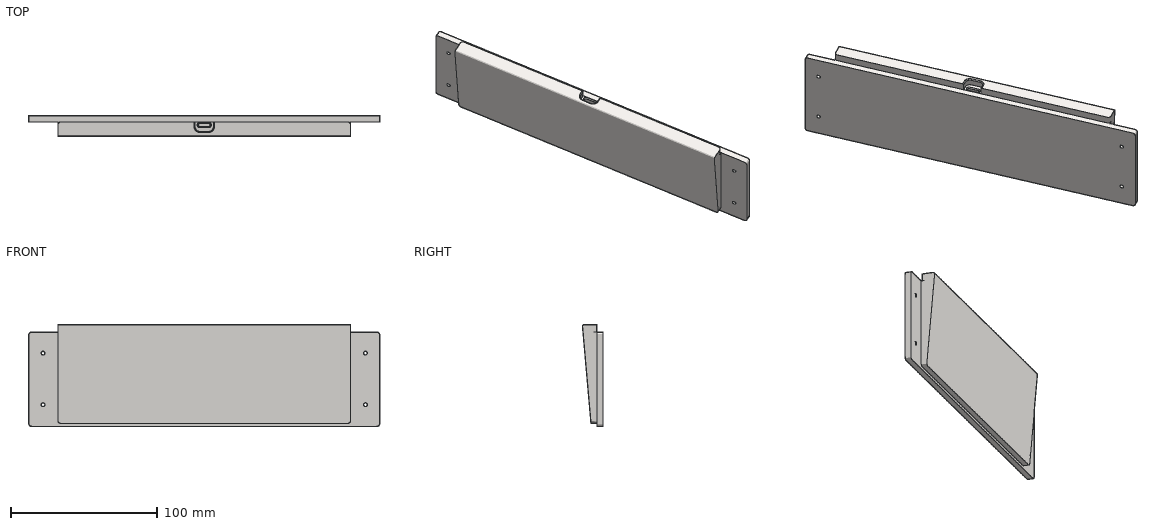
import cadquery as cq
import math

plate_length = 240.5
plate_height = 64.7
plate_thickness = 4.3
plate_corner_radius = 2.05

total_depth = 14.2
housing_length = 200.5
housing_bottom = 2.2
housing_top = 69.7
face_slope = 5.0
housing_corner_radius = 2.05
top_edge_radius = 1.2

hole_diameter = 2.5
hole_spacing_x = 220.7
hole_heights = (15.0, 50.3)

recess_width = 12.5
recess_depth_y = 6.5
recess_corner_radius = 3.4
recess_floor = 65.0
recess_chamfer = 0.7

socket_width = 8.2
socket_thickness = 2.2
socket_gap = 1.0
socket_chamfer = 0.7
socket_depth = 4.8

plate_front = -plate_thickness


def make_plate():
    plate = cq.Workplane("XY").box(
        plate_length, plate_thickness, plate_height, centered=(True, False, False)
    )
    plate = plate.translate((0, plate_front, 0))
    return plate.edges("|Y").fillet(plate_corner_radius)


def make_housing():
    slope = math.radians(face_slope)
    corner_y = -total_depth - top_edge_radius * (1 / math.cos(slope) + math.tan(slope) - 1)
    slope_run = (housing_top - housing_bottom) * math.tan(slope)
    profile = [
        (plate_front, housing_bottom),
        (plate_front, housing_top),
        (corner_y, housing_top),
        (corner_y + slope_run, housing_bottom),
    ]
    housing = (
        cq.Workplane("YZ").polyline(profile).close().extrude(housing_length / 2, both=True)
    )
    housing = housing.edges("|Y").edges("<Z").fillet(housing_corner_radius)
    return housing.edges("|X and <Y").fillet(top_edge_radius)


def round_back_corners(housing):
    """Round the upright back edges of the housing where it rises above the plate."""
    at_plate_top = housing.copyWorkplane(cq.Workplane("XY", origin=(0, 0, plate_height)))
    upper = at_plate_top.split(keepTop=True)
    lower = at_plate_top.split(keepBottom=True)
    return lower.union(upper.edges("|Z and >Y").fillet(housing_corner_radius))


def make_holes():
    points = [(side * hole_spacing_x / 2, z) for side in (-1, 1) for z in hole_heights]
    return (
        cq.Workplane("XZ").pushPoints(points).circle(hole_diameter / 2).extrude(plate_thickness)
    )


def make_recess():
    """Symmetric about the plate front; its back half lies in open space."""
    depth = 2 * recess_depth_y
    rim = (
        cq.Sketch()
        .rect(recess_width + 2 * recess_chamfer, depth + 2 * recess_chamfer)
        .vertices().fillet(recess_corner_radius + recess_chamfer)
    )
    flare = (
        cq.Workplane("XY", origin=(0, plate_front, housing_top))
        .placeSketch(rim)
        .extrude(-recess_chamfer, taper=45)
    )
    return (
        cq.Workplane("XY", origin=(0, plate_front, recess_floor))
        .rect(recess_width, depth)
        .extrude(housing_top - recess_floor)
        .edges("|Z").fillet(recess_corner_radius)
        .union(flare)
    )


def make_socket():
    center_y = plate_front - socket_gap - socket_thickness / 2
    flare = (
        cq.Workplane("XY", origin=(0, center_y, recess_floor))
        .slot2D(socket_width + 2 * socket_chamfer, socket_thickness + 2 * socket_chamfer)
        .extrude(-socket_chamfer, taper=45)
    )
    return (
        cq.Workplane("XY", origin=(0, center_y, recess_floor))
        .slot2D(socket_width, socket_thickness)
        .extrude(-socket_depth)
        .union(flare)
    )


body = make_plate().union(round_back_corners(make_housing()))
result = body.cut(make_holes()).cut(make_recess()).cut(make_socket())